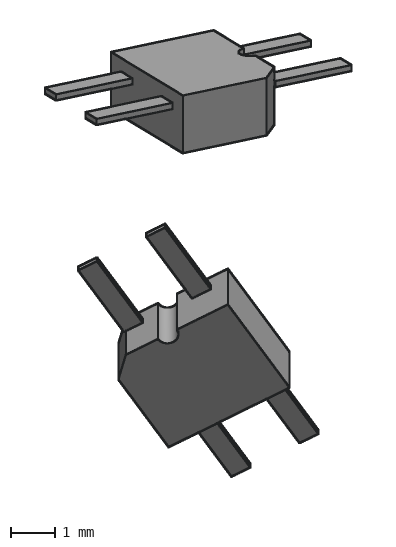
import cadquery as cq

body_width = 3.2
body_length = 2.7
body_height = 1.4
corner_chamfer = 0.5
notch_radius = 0.25

overall_length = 6.7
lead_width = 0.5
lead_thickness = 0.15
lead_pitch = 1.8
lead_center_height = 1.0


def make_body():
    """Rectangular block on Z = 0 with a chamfered corner at +X, +Y."""
    block = cq.Workplane("XY").box(
        body_width, body_length, body_height, centered=(True, True, False)
    )
    return block.edges("|Z and >X and >Y").chamfer(corner_chamfer)


def make_notch():
    """Round cutter centred on the +Y edge, through the full height."""
    return (
        cq.Workplane("XY")
        .center(0, body_length / 2)
        .circle(notch_radius)
        .extrude(body_height)
    )


def make_lead(x, side):
    """Flat straight lead from the body's face on the given Y side (+1 or -1)."""
    lead_length = (overall_length - body_length) / 2
    lead_center_y = side * (body_length + lead_length) / 2
    return (
        cq.Workplane("XY")
        .box(lead_width, lead_length, lead_thickness)
        .translate((x, lead_center_y, lead_center_height))
    )


result = make_body().cut(make_notch())
for x in (-lead_pitch / 2, lead_pitch / 2):
    for side in (-1, 1):
        result = result.union(make_lead(x, side))